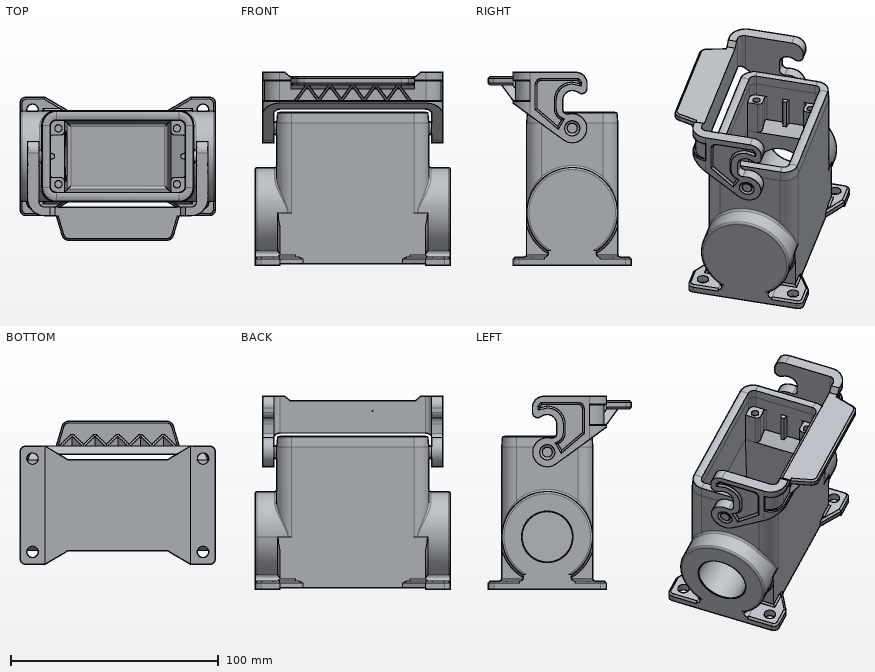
import cadquery as cq
import math

body_x, body_y = 73.2, 44.0
corner_r = 7.1
bottom_z = 0.8
shoulder_z = 68.5
top_z = 73.4
rim_draft = 4.5
crown_height = 0.4
base_x, base_y = 70.2, body_y

tiny = 0.05
margin = 1.0

mouth_x, mouth_y = 64.8, 34.6
lead_in_z = 69.0
lead_in_draft = 2.6
mouth_r = 2.8
post_top_z = 62.3
well_x, well_y = 51.2, mouth_y
well_draft = 2.2
floor_z = 3.8
floor_fillet = 1.5
bay_y = 20.4
bay_wall_r = 1.0
post_r = 2.0
slope_z = 45.0
slope_angle = math.radians(25)
screw_x, screw_y = 28.5, 13.45
screw_hole_d = 3.5
screw_hole_depth = 12.0
nub_x, nub_base, nub_tip = 2.0, 3.2, 1.6

boss_z = 25.3
boss_r = 21.8
boss_end_x = 47.0
boss_root_x = 29.5
boss_edge = 1.0
neck_r = 1.8
flare_r = 1.0
bore_d = 24.2
bore_edge = 0.3

foot_y = 28.5
foot_z = 4.0
foot_inner_x = base_x / 2
foot_corner_r = 2.8
foot_edge = 1.0
gusset_x = 24.0
foot_hole_x, foot_hole_y = 41.0, 22.4
foot_hole_d = 5.4
skirt_x = 27.5
skirt_size = 0.9

arm_outer_x, arm_inner_x = 43.4, 38.0
lever_top_z = 93.0
bar_outer_y, bar_inner_y = -28.6, -24.5
bar_outer_r = 8.2
bar_inner_r = 3.0
pivot_z = 66.0
eye_r = 7.0
under_angle = math.radians(36)
hook_y = 7.2
hook_r = 5.6
slot_z, slot_r = 79.6, 4.5
slot_entry_angle = math.radians(63)
slot_foot_z = 75.0
slot_foot_mid = (-3.8, 73.5)
eye_top_y = -2.0
hook_tip_start_z = 85.2
hook_tip_mid = (6.2, 83.2)
hook_tip_end = (4.3, 82.5)
pocket_depth = 1.0
pocket_draft = 42.0
pocket_wall = 3.2
pocket_top_z = 90.0
pocket_front_y = -17.8
pocket_corner_r = 3.0
pocket_front_low_z = 75.0
pocket_bottom = (-6.7, 65.5)
pocket_eye_corner = (-3.8, 70.5)
pocket_eye_mid = (-6.6, 72.3)
pocket_slot_low_z = 75.3
pocket_tip_low = (4.3, 86.3)
pocket_tip_high = (4.6, 88.0)
pocket_tip_top_y = 3.0
band_z0, band_z1 = 79.4, 88.7
ledge_slope = 0.5
band_side_depth, band_front_depth = 0.8, 1.4
notch_top_x, notch_bottom_x = 32.7, 30.1

pin_r = 2.4
pin_end_x = 43.0
pin_collar_r, pin_collar_tip_r = 3.5, 2.6
pin_sink_r, pin_sink_depth = 3.65, 1.2

tab_z0, tab_z1 = 86.8, 90.8
tab_end_y = -40.5
tab_root_x, tab_end_x = 29.6, 26.1
tab_corner_r = 3.5
tab_edge = 0.9
root_strip = 1.9
rib_pitch = 10.95
rib_width = 1.2
rib_peaks = 5
rib_front_y = -34.0


def both_ends(shape):
    return shape.union(shape.mirror("YZ"))


def block(x, y, z0, z1):
    return cq.Workplane("XY").workplane(offset=z0).rect(x, y).extrude(z1 - z0)


def rounded_block(x, y, z0, z1, radius):
    return block(x, y, z0, z1).edges("|Z").fillet(radius)


def x_cylinder(radius, x0, x1, z):
    return cq.Workplane("YZ", origin=(x0, 0, z)).circle(radius).extrude(x1 - x0)


def x_cone(r0, r1, x0, x1, z):
    axis = cq.Vector(1, 0, 0)
    return cq.Workplane(cq.Solid.makeCone(r0, r1, x1 - x0, cq.Vector(x0, 0, z), axis))


def make_rim():
    """Drafted rim with a gently crowned lip around the mouth."""
    height = top_z - shoulder_z
    shrink = height * math.tan(math.radians(rim_draft))
    outline = cq.Sketch().rect(body_x, body_y).vertices().fillet(corner_r)
    rim = (cq.Workplane("XY").workplane(offset=shoulder_z)
           .placeSketch(outline).extrude(height, taper=rim_draft))
    lip_x = body_x / 2 - shrink
    lip_y = body_y / 2 - shrink
    wall = lip_y - mouth_y / 2
    middle_r = corner_r - shrink - wall / 2
    middle = rounded_block(2 * lip_x - wall, 2 * lip_y - wall, top_z, top_z + margin, middle_r)
    path = middle.faces("<Z").wires()
    crown = (cq.Workplane("XZ", origin=(0, wall / 2 - lip_y, top_z))
             .transformed(rotate=(0, 90, 0))
             .moveTo(-wall / 2, -tiny).lineTo(wall / 2, -tiny).lineTo(wall / 2, 0)
             .threePointArc((0, crown_height), (-wall / 2, 0)).close().sweep(path))
    return rim.union(crown)


def make_shell():
    """Rounded upper body on a square base, with both bosses blended into the end walls."""
    upper = rounded_block(body_x, body_y, boss_z, shoulder_z, corner_r)
    shell = block(base_x, base_y, bottom_z, boss_z).union(upper)
    boss = x_cylinder(boss_r, boss_root_x, boss_end_x, boss_z).faces(">X").edges().fillet(boss_edge)
    shell = shell.union(both_ends(boss))
    reach = boss_r + margin
    above_tips = boss_z + 3 * margin
    for side in (-1, 1):
        near = side * boss_root_x
        far = side * (body_x / 2 + margin)
        above = cq.selectors.BoxSelector((near, -reach, above_tips), (far, reach, boss_z + reach))
        shell = shell.edges(above).edges("not(|X or |Y or |Z)").fillet(flare_r)
    ring = x_cone(boss_r + flare_r, boss_r, base_x / 2, base_x / 2 + flare_r, boss_z)
    ring = ring.intersect(block(2 * boss_end_x, base_y, bottom_z, boss_z))
    return shell.union(both_ends(ring)).union(make_rim())


def make_neck():
    """Neck under the +X boss, blended into the foot plate by a round on each side."""
    reach = boss_r + neck_r
    blend_z = foot_z + neck_r
    blend_y = math.sqrt(reach**2 - (boss_z - blend_z)**2)
    touch_y = blend_y * boss_r / reach
    touch_z = boss_z - (boss_z - blend_z) * boss_r / reach
    waist_y = blend_y - neck_r
    return (cq.Workplane("YZ", origin=(foot_inner_x, 0, 0))
            .moveTo(-blend_y, 0).lineTo(blend_y, 0).lineTo(blend_y, foot_z)
            .threePointArc((waist_y, blend_z), (touch_y, touch_z)).lineTo(-touch_y, touch_z)
            .threePointArc((-waist_y, blend_z), (-blend_y, foot_z)).close()
            .extrude(boss_end_x - foot_inner_x))


def make_feet():
    """Foot plate at the +X end, with gussets reaching along both long walls."""
    plate = (block(boss_end_x - foot_inner_x, 2 * foot_y, 0, foot_z)
             .translate(((boss_end_x + foot_inner_x) / 2, 0, 0))
             .edges("|Z and >X").fillet(foot_corner_r))
    wall_y = base_y / 2
    gusset = (cq.Workplane("XY").workplane(offset=bottom_z)
              .polyline([(gusset_x, 0), (foot_inner_x, 0),
                         (foot_inner_x, foot_y), (gusset_x, wall_y)])
              .close().extrude(foot_z - bottom_z))
    gussets = gusset.union(gusset.mirror("XZ"))
    feet = plate.union(gussets)
    feet = feet.faces(">Z").edges("(>Y or <Y) or (not(|X or |Y))").chamfer(foot_edge)
    return feet


def make_skirt():
    """Sloped fillet strip where the base walls meet the feet."""
    skirt = block(base_x + 2 * skirt_size, base_y + 2 * skirt_size, foot_z, foot_z + skirt_size + tiny)
    skirt = skirt.faces(">Z").edges().chamfer(skirt_size)
    return skirt.cut(block(2 * skirt_x, 2 * foot_y, 0, top_z)).cut(block(base_x, base_y, 0, top_z))


def cut_foot_holes(part):
    """Mounting holes through the four foot corners."""
    places = [(sx * foot_hole_x, sy * foot_hole_y) for sx in (-1, 1) for sy in (-1, 1)]
    holes = cq.Workplane("XY").pushPoints(places).circle(foot_hole_d / 2).extrude(2 * foot_z)
    return part.cut(holes.cut(block(2 * foot_inner_x, 2 * foot_y, 0, 2 * foot_z)))


def make_cavity():
    """Open mouth, screw posts in the corners, sloped end bays and a drafted well."""
    mouth = rounded_block(mouth_x, mouth_y, post_top_z, lead_in_z, mouth_r)
    outline = cq.Sketch().rect(mouth_x, mouth_y).vertices().fillet(mouth_r)
    lead_in = (cq.Workplane("XY").workplane(offset=lead_in_z)
               .placeSketch(outline).extrude(top_z + margin - lead_in_z, taper=-lead_in_draft))
    well = (cq.Workplane("XY").workplane(offset=slope_z)
            .rect(well_x, well_y).extrude(-(slope_z - floor_z), taper=well_draft)
            .faces("<Z").edges().fillet(floor_fillet))

    bays = (block(mouth_x, bay_y, slope_z, post_top_z).edges("|Z").fillet(bay_wall_r)
            .union(block(well_x, well_y, slope_z, post_top_z)))
    for side in (-1, 1):
        corner_x = side * well_x / 2
        inner = cq.selectors.BoxSelector((corner_x - tiny, -bay_y / 2 - tiny, slope_z),
                                         (corner_x + tiny, bay_y / 2 + tiny, post_top_z))
        bays = bays.edges(inner).edges("|Z").fillet(post_r)
    rise = (mouth_x - well_x) / 2 * math.tan(slope_angle)
    ramp = (cq.Workplane("XZ", origin=(0, bay_y / 2 + post_r, 0))
            .polyline([(well_x / 2, slope_z), (mouth_x / 2, slope_z), (mouth_x / 2, slope_z + rise)])
            .close().extrude(bay_y + 2 * post_r))
    bays = bays.cut(both_ends(ramp))

    places = [(sx * screw_x, sy * screw_y) for sx in (-1, 1) for sy in (-1, 1)]
    screws = (cq.Workplane("XY").workplane(offset=post_top_z).pushPoints(places)
              .circle(screw_hole_d / 2).extrude(-screw_hole_depth))
    return mouth.union(lead_in).union(well).union(bays).union(screws)


def make_nub():
    """Tapered guide rib in the middle of the +X end wall."""
    wall_x = mouth_x / 2
    return (cq.Workplane("XY").workplane(offset=slope_z)
            .polyline([(wall_x, nub_base / 2), (wall_x, -nub_base / 2),
                       (wall_x - nub_x, -nub_tip / 2), (wall_x - nub_x, nub_tip / 2)])
            .close().extrude(post_top_z - slope_z))


def make_bore():
    """Cable entry through the -X boss into the well."""
    bore = x_cylinder(bore_d / 2, -boss_end_x, 0, boss_z)
    mouth = x_cone(bore_d / 2 + bore_edge, bore_d / 2, -boss_end_x, -boss_end_x + bore_edge, boss_z)
    return bore.union(mouth)


def make_arm_outline():
    """Side outline of the lever: hook, latch slot, pivot eye and sloped underside."""
    eye_y = -eye_r * math.sin(under_angle)
    eye_z = pivot_z - eye_r * math.cos(under_angle)
    heel_z = eye_z + (eye_y - bar_outer_y) * math.tan(under_angle)
    hook_mid = hook_r * (1 - math.sqrt(0.5))
    eye_top = (eye_top_y, pivot_z + math.sqrt(eye_r**2 - eye_top_y**2))
    slot_start = (slot_r * math.cos(slot_entry_angle), slot_z + slot_r * math.sin(slot_entry_angle))
    slot_mid = (-slot_r * math.sqrt(0.5), slot_z + slot_r * math.sqrt(0.5))
    return (cq.Workplane("YZ", origin=(-arm_outer_x, 0, 0))
            .moveTo(bar_outer_y, heel_z).lineTo(bar_outer_y, lever_top_z)
            .lineTo(hook_y - hook_r, lever_top_z)
            .threePointArc((hook_y - hook_mid, lever_top_z - hook_mid), (hook_y, lever_top_z - hook_r))
            .lineTo(hook_y, hook_tip_start_z).threePointArc(hook_tip_mid, hook_tip_end)
            .lineTo(*slot_start).threePointArc(slot_mid, (-slot_r, slot_z))
            .lineTo(-slot_r, slot_foot_z).threePointArc(slot_foot_mid, eye_top)
            .threePointArc((eye_r, pivot_z), (eye_y, eye_z)).close())


def make_arm_pocket():
    """Sloped-wall recess in the outer face of the +X arm, following the latch slot."""
    ring = slot_r + pocket_wall
    diagonal = math.sqrt(0.5)
    corner_y = pocket_front_y + pocket_corner_r
    corner_z = pocket_top_z - pocket_corner_r
    corner_mid = (corner_y - pocket_corner_r * diagonal, corner_z + pocket_corner_r * diagonal)
    return (cq.Workplane("YZ", origin=(arm_outer_x, 0, 0))
            .moveTo(pocket_tip_top_y, pocket_top_z).lineTo(corner_y, pocket_top_z)
            .threePointArc(corner_mid, (pocket_front_y, corner_z))
            .lineTo(pocket_front_y, pocket_front_low_z)
            .lineTo(*pocket_bottom).lineTo(*pocket_eye_corner)
            .threePointArc(pocket_eye_mid, (-ring, pocket_slot_low_z)).lineTo(-ring, slot_z)
            .threePointArc((-ring * diagonal, slot_z + ring * diagonal), (0, slot_z + ring))
            .lineTo(*pocket_tip_low).lineTo(*pocket_tip_high).close()
            .extrude(-pocket_depth, taper=pocket_draft))


def lever_frame(half_x, front_y, radius, z0, z1):
    """Block centred on the pivot axis with its two front corners rounded."""
    return block(2 * half_x, -2 * front_y, z0, z1).edges("|Z and <Y").fillet(radius)


def make_lever():
    """U-shaped lever: two hooked arms joined by a front bar with a recessed band."""
    low_z = pivot_z - eye_r
    outer = lever_frame(arm_outer_x, bar_outer_y, bar_outer_r, low_z, lever_top_z)
    inner = lever_frame(arm_inner_x, bar_inner_y, bar_inner_r, low_z, lever_top_z)
    inner = inner.union(block(2 * arm_inner_x, 2 * hook_y, low_z, lever_top_z)
                        .translate((0, -bar_outer_y, 0)))
    lever = outer.cut(inner).intersect(make_arm_outline().extrude(2 * arm_outer_x))

    core = lever_frame(arm_outer_x - band_side_depth, bar_outer_y + band_front_depth,
                       bar_outer_r - band_side_depth, band_z0, band_z1)
    front_zone = (block(2 * arm_outer_x, bar_outer_r, band_z0, band_z1)
                  .translate((0, bar_outer_y + bar_outer_r / 2, 0)))
    lever = lever.cut(front_zone.cut(core))
    for ledge_z in (band_z0, band_z1):
        ledge = cq.selectors.BoxSelector((-arm_outer_x, bar_outer_y - tiny, ledge_z - tiny),
                                         (arm_outer_x, bar_outer_y + tiny, ledge_z + tiny))
        lever = lever.edges(ledge).edges("|X").chamfer(ledge_slope)

    notch = (cq.Workplane("XZ", origin=(0, bar_inner_y + margin, 0))
             .polyline([(-notch_top_x, lever_top_z), (-notch_bottom_x, tab_z1),
                        (notch_bottom_x, tab_z1), (notch_top_x, lever_top_z)])
             .close().extrude(bar_inner_y - bar_outer_y + 2 * margin))
    lever = lever.cut(notch).cut(both_ends(make_arm_pocket()))
    sink = x_cone(pin_r, pin_sink_r, arm_outer_x - pin_sink_depth, arm_outer_x, pivot_z)
    return lever.cut(both_ends(sink))


def make_tab():
    """Tapered handle tab with a sloped strip under its root."""
    tab = (cq.Workplane("XY").workplane(offset=tab_z0)
           .polyline([(-tab_root_x, bar_outer_y), (-tab_end_x, tab_end_y),
                      (tab_end_x, tab_end_y), (tab_root_x, bar_outer_y)])
           .close().extrude(tab_z1 - tab_z0)
           .edges("|Z and <Y").fillet(tab_corner_r))
    tab = tab.edges("(<Z or >Z) and (not >Y)").chamfer(tab_edge)
    band_y = bar_outer_y + band_front_depth
    root_depth = band_front_depth + margin
    root = block(2 * tab_root_x, root_depth, tab_z0, tab_z1)
    root = root.translate((0, bar_outer_y + root_depth / 2, 0))
    strip = (cq.Workplane("YZ", origin=(-tab_root_x, 0, tab_z0))
             .polyline([(band_y + tiny, tiny), (band_y + tiny, -root_strip),
                        (bar_outer_y, -tiny), (bar_outer_y, tiny)])
             .close().extrude(2 * tab_root_x))
    return tab.union(root).union(strip)


def make_ribs():
    """Zigzag stiffening ribs under the tab, cut to a wedge by a sloped front."""
    rise = tab_z0 - band_z0
    lean = math.degrees(math.atan2(rise, rib_pitch / 2))
    length = math.hypot(rise, rib_pitch / 2) + rib_width
    ribs = cq.Workplane("XY")
    depth = bar_outer_y + band_front_depth - rib_front_y
    for i in range(2 * rib_peaks):
        x = (i + 0.5 - rib_peaks) * rib_pitch / 2
        angle = lean if i % 2 == 0 else -lean
        bar = (cq.Workplane("XZ").rect(length, rib_width).extrude(depth + tiny)
               .rotate((0, 0, 0), (0, 1, 0), -angle)
               .translate((x, bar_outer_y + band_front_depth + tiny, (band_z0 + tab_z0) / 2)))
        ribs = ribs.union(bar)
    wedge = (cq.Workplane("YZ", origin=(-arm_outer_x, 0, 0))
             .polyline([(bar_inner_y, band_z0), (bar_outer_y, band_z0),
                        (rib_front_y, tab_z0 + tiny), (bar_inner_y, tab_z0 + tiny)])
             .close().extrude(2 * arm_outer_x))
    return ribs.intersect(wedge)


def make_pin():
    """Pivot pin rooted in the body wall, with a conical collar up to the lever arm."""
    pin = x_cylinder(pin_r, mouth_x / 2 + margin, pin_end_x, pivot_z)
    return pin.union(x_cone(pin_collar_r, pin_collar_tip_r, body_x / 2 - tiny, arm_inner_x, pivot_z))


housing = make_shell().union(both_ends(make_neck()))
housing = housing.union(both_ends(make_feet())).union(make_skirt())
housing = housing.cut(make_cavity()).cut(make_bore()).union(both_ends(make_nub()))
housing = cut_foot_holes(housing)
lever = make_lever().union(make_tab()).union(make_ribs())
result = housing.union(both_ends(make_pin())).union(lever)